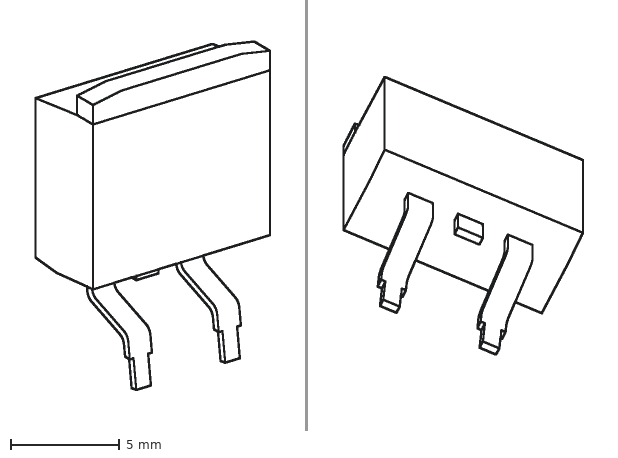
import cadquery as cq
import math

overall_depth = 5.08
overall_height = 15.29
width = 10.1

housing_depth = 4.55
housing_base_z = 5.32
housing_top_z = 14.0
front_top_z = 13.62
base_taper_angle = 5.0

tab_thickness = 1.25
tab_chamfer_width = 1.64
tab_chamfer_drop = 0.29

lead_thickness = 0.38
lead_width = 1.27
lead_front_x = 1.48
lead_pitch = 2.54
lead_bend_radius = 0.5
first_bend_z = 3.65
incline_angle = 20.0
tip_angle = 8.0
tip_width = 0.84
shoulder_z = 1.59
stub_end_z = 3.8

lead_center_x = lead_front_x + lead_thickness / 2
lead_root_z = housing_base_z + lead_thickness


def extrude_across(outline, y_size):
    """Extrude a closed XZ outline, centred on Y = 0."""
    return cq.Workplane("XZ").polyline(outline).close().extrude(y_size / 2, both=True)


def make_housing():
    """Block with a sloped top and a shallow V-shaped base whose lowest line is above the leads."""
    taper = math.tan(math.radians(base_taper_angle))
    front_base_z = housing_base_z + lead_center_x * taper
    back_base_z = housing_base_z + (housing_depth - lead_center_x) * taper
    outline = [
        (0, front_base_z),
        (lead_center_x, housing_base_z),
        (housing_depth, back_base_z),
        (housing_depth, housing_top_z),
        (housing_depth - tab_thickness, housing_top_z),
        (0, front_top_z),
    ]
    return extrude_across(outline, width)


def make_tab():
    """Full-width plate with its two upper corners cut at a shallow angle."""
    half_width = width / 2
    flat_half_width = half_width - tab_chamfer_width
    chamfer_z = overall_height - tab_chamfer_drop
    outline = [
        (-half_width, housing_top_z),
        (half_width, housing_top_z),
        (half_width, chamfer_z),
        (flat_half_width, overall_height),
        (-flat_half_width, overall_height),
        (-half_width, chamfer_z),
    ]
    plate = cq.Workplane("YZ").polyline(outline).close().extrude(tab_thickness)
    return plate.translate((housing_depth - tab_thickness, 0, 0))


def make_lead(y_center, housing):
    """Strip bent backwards and then down, narrowed below its shoulders."""
    half = lead_thickness / 2
    incline = math.radians(incline_angle)
    tip = math.radians(tip_angle)

    tip_x = overall_depth - half * math.cos(tip)
    tip_z = half * math.sin(tip)

    incline_slope = math.tan(incline)
    tip_slope = math.tan(tip)
    incline_height = first_bend_z + lead_center_x * incline_slope - tip_z
    second_bend_x = (tip_x - incline_height * tip_slope) / (1 - incline_slope * tip_slope)
    second_bend_z = first_bend_z - (second_bend_x - lead_center_x) * incline_slope

    first_shift = half * math.tan((math.pi / 2 - incline) / 2)
    first_miter = (half, first_shift)
    second_turn = math.pi / 2 - incline - tip
    miter_direction = (math.pi / 2 - incline + tip) / 2
    miter_length = half / math.cos(second_turn / 2)
    second_miter = (
        miter_length * math.cos(miter_direction),
        miter_length * math.sin(miter_direction),
    )
    tip_offset = (half * math.cos(tip), half * math.sin(tip))

    stations = [
        ((lead_center_x, lead_root_z), (half, 0)),
        ((lead_center_x, first_bend_z), first_miter),
        ((second_bend_x, second_bend_z), second_miter),
        ((tip_x, tip_z), tip_offset),
    ]
    back_face = [(x + dx, z + dz) for (x, z), (dx, dz) in stations]
    front_face = [(x - dx, z - dz) for (x, z), (dx, dz) in stations]
    lead = extrude_across(back_face + front_face[::-1], lead_width)

    for x, z in back_face[1:3] + front_face[1:3]:
        bend_edge = cq.selectors.NearestToPointSelector((x, 0, z))
        lead = lead.edges("|Y").edges(bend_edge).fillet(lead_bend_radius)

    shoulder_width = (lead_width - tip_width) / 2
    for side in (-1, 1):
        shoulder_cut = cq.Workplane("XY").box(
            overall_depth, shoulder_width, shoulder_z, centered=(False, True, False)
        )
        shoulder_y = side * (tip_width + shoulder_width) / 2
        lead = lead.cut(shoulder_cut.translate((0, shoulder_y, 0)))
    return lead.translate((0, y_center, 0)).cut(housing)


def make_stub(housing):
    """Short straight middle lead, cut off square."""
    stub_length = lead_root_z - stub_end_z
    stub = cq.Workplane("XY").box(
        lead_thickness, lead_width, stub_length, centered=(True, True, False)
    )
    return stub.translate((lead_center_x, 0, stub_end_z)).cut(housing)


housing = make_housing()
tab = make_tab()
stub = make_stub(housing)
leads = [make_lead(side * lead_pitch, housing) for side in (-1, 1)]

result = cq.Compound.makeCompound(
    [housing.val(), tab.val(), stub.solids().val(), *[lead.solids().val() for lead in leads]]
)